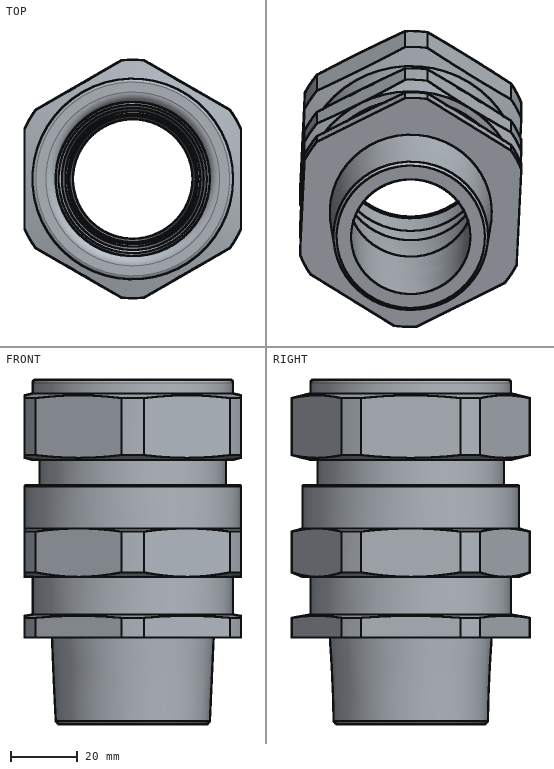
import cadquery as cq
import math

across_flats = 65.0
corner_radius = 35.8

thread_chamfer_top = 1.0
flange_bottom = 26.0
flange_top = 33.0
sleeve_bottom = 44.2
sleeve_hex_top = 58.7
ring_top = 71.7
nut_bottom = 79.3
nut_hex_top = 99.2
overall_height = 103.4

collar_radius = 30.1
neck_radius = 28.0
ring_radius = across_flats / 2
thread_top_radius = 24.3
thread_bottom_radius = 23.2
thread_tip_radius = 22.2

flange_corner_drop = 1.0
sleeve_corner_drop = 0.9
sleeve_bottom_corner_drop = 1.3
nut_corner_drop = 1.4
ring_chamfer = 0.4
collar_fillet = 1.0

lip_fillet = 3.0
lip_radius = 23.0
bore_radius = 23.2
neck_engagement = 6.4
shoulder_height = 70.3
shoulder_inner_radius = 22.2
shoulder_chamfer = 0.9
sleeve_bore_bottom_radius = 20.3
entry_top_radius = 19.5
entry_chamfer = 0.6
entry_bottom_radius = 17.9

neck_top = nut_bottom + neck_engagement


def revolve_profile(points):
    """Turn a closed outline of (radius, height) points about the vertical axis."""
    return cq.Workplane("XZ").polyline(points).close().revolve(360, (0, 0), (0, 1))


def cylinder(radius, bottom, top):
    return cq.Workplane("XY").workplane(offset=bottom).circle(radius).extrude(top - bottom)


def chamfered_hexagon(bottom, top, top_start, top_drop, bottom_start=corner_radius, bottom_drop=0.0):
    """Hexagon with corners toward +Y and -Y, its ends coned off outside the start radii."""
    hexagon = (
        cq.Workplane("XY")
        .workplane(offset=bottom)
        .polygon(6, across_flats / math.cos(math.pi / 6))
        .extrude(top - bottom)
        .rotate((0, 0, 0), (0, 0, 1), 30)
    )
    upper_outline = [(corner_radius, top - top_drop), (top_start, top), (0, top)]
    lower_outline = [(0, bottom), (bottom_start, bottom)]
    if bottom_drop > 0:
        lower_outline.append((corner_radius, bottom + bottom_drop))
    turned_blank = revolve_profile(lower_outline + upper_outline)
    return hexagon.intersect(turned_blank)


def make_entry():
    """Lower body: tapered threaded end, hexagonal flange and collar."""
    thread = revolve_profile(
        [
            (0, 0),
            (thread_tip_radius, 0),
            (thread_bottom_radius, thread_chamfer_top),
            (thread_top_radius, flange_bottom),
            (0, flange_bottom),
        ]
    )
    flange = chamfered_hexagon(flange_bottom, flange_top, collar_radius, flange_corner_drop)
    collar = cylinder(collar_radius, flange_top, sleeve_bottom)
    passage = revolve_profile(
        [
            (0, 0),
            (entry_bottom_radius, 0),
            (entry_top_radius - entry_chamfer, sleeve_bottom - entry_chamfer),
            (entry_top_radius, sleeve_bottom),
            (0, sleeve_bottom),
        ]
    )
    return thread.union(flange).union(collar).cut(passage)


def make_sleeve():
    """Middle body: hexagon, round ring and a neck that reaches up into the nut."""
    hexagon = chamfered_hexagon(
        sleeve_bottom,
        sleeve_hex_top,
        ring_radius,
        sleeve_corner_drop,
        ring_radius,
        sleeve_bottom_corner_drop,
    )
    ring = cylinder(ring_radius, sleeve_hex_top, ring_top).faces(">Z").chamfer(ring_chamfer)
    neck = cylinder(neck_radius, ring_top, neck_top)
    passage = revolve_profile(
        [
            (0, sleeve_bottom),
            (sleeve_bore_bottom_radius, sleeve_bottom),
            (shoulder_inner_radius - shoulder_chamfer, shoulder_height - shoulder_chamfer),
            (shoulder_inner_radius, shoulder_height),
            (bore_radius, shoulder_height),
            (bore_radius, neck_top),
            (0, neck_top),
        ]
    )
    return hexagon.union(ring).union(neck).cut(passage)


def make_nut():
    """Upper body: hexagon and collar with a rounded cable mouth, recessed below for the neck."""
    hexagon = chamfered_hexagon(
        nut_bottom, nut_hex_top, collar_radius, nut_corner_drop, collar_radius, nut_corner_drop
    )
    collar = cylinder(collar_radius, nut_hex_top, overall_height).faces(">Z").edges().fillet(collar_fillet)
    bore = cylinder(bore_radius, neck_top, nut_hex_top)
    neck_recess = cylinder(neck_radius, nut_bottom, neck_top)
    fillet_bottom = overall_height - lip_fillet
    mouth_radius = lip_radius + lip_fillet
    arc_offset = lip_fillet * math.sqrt(0.5)
    mouth = (
        cq.Workplane("XZ")
        .moveTo(0, nut_hex_top)
        .lineTo(lip_radius, nut_hex_top)
        .lineTo(lip_radius, fillet_bottom)
        .threePointArc(
            (mouth_radius - arc_offset, fillet_bottom + arc_offset),
            (mouth_radius, overall_height),
        )
        .lineTo(0, overall_height)
        .close()
        .revolve(360, (0, 0), (0, 1))
    )
    return hexagon.union(collar).cut(bore).cut(neck_recess).cut(mouth)


entry = make_entry()
sleeve = make_sleeve()
nut = make_nut()

result = cq.Compound.makeCompound([entry.val(), sleeve.val(), nut.val()])